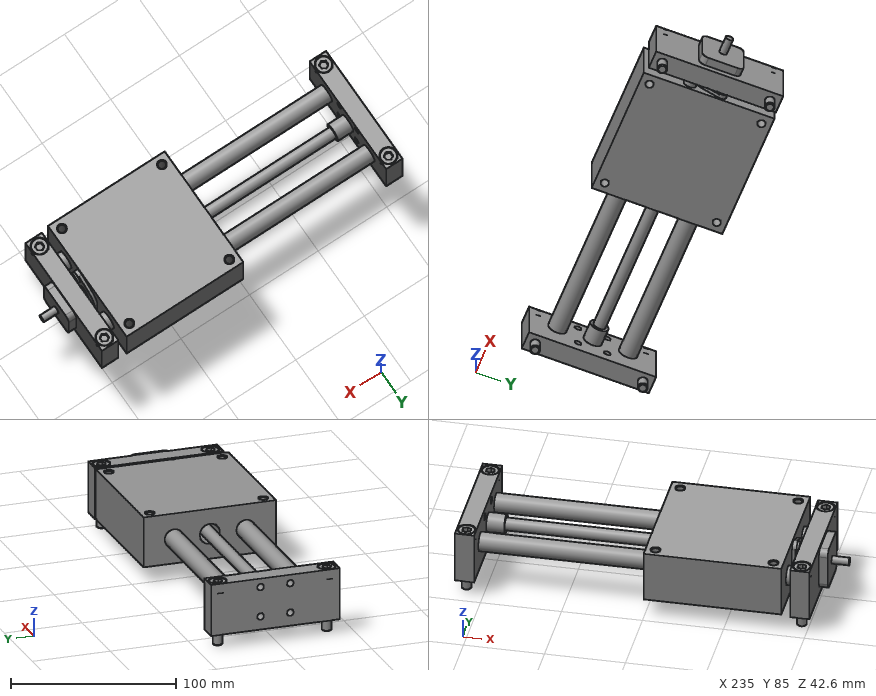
import cadquery as cq
import math


total_length = 235.0
idle_plate_thickness = 12.0
drive_plate_start = 207.0
drive_plate_thickness = 12.0
drive_plate_end = drive_plate_start + drive_plate_thickness

plate_width = 82.7
plate_top = 15.0
plate_bottom = -18.0
plate_height = plate_top - plate_bottom

plate_hole_diameter = 4.2
plate_hole_spacing = 19.0

screw_spacing = 70.0
screw_shank_diameter = 6.0
screw_head_diameter = 10.0
screw_head_height = 6.0
screw_counterbore_diameter = 11.0
screw_counterbore_depth = 6.3
screw_socket_flats = 5.0
screw_socket_depth = 3.0
screw_tip_z = -26.3
screw_tip_chamfer = 0.7

rod_diameter = 12.0
rod_spacing = 46.0
spindle_diameter = 8.0
bush_diameter = 12.0
bush_length = 11.0

block_size = 27.0
block_thickness = 5.5
block_corner_radius = 4.0
block_end = drive_plate_end + block_thickness
journal_diameter = 5.0

carriage_size = 85.0
carriage_height = 32.5
carriage_start = 116.8
carriage_end = carriage_start + carriage_size
carriage_middle = carriage_start + carriage_size / 2
carriage_hole_inset = 6.0
carriage_hole_spacing = carriage_size - 2 * carriage_hole_inset
carriage_hole_diameter = 5.0
carriage_hole_mouth_diameter = 6.0
carriage_hole_mouth_angle = 90
spindle_clearance_diameter = 13.0

stop_pin_diameter = 8.0
stop_pin_y = -12.7
stop_pin_z = -10.0

flange_thickness = 2.0
flange_end = carriage_end + flange_thickness
flange_centre_radius = 11.0
flange_lobe_radius = 3.8
flange_bolt_radius = 13.2
flange_screw_head_height = 2.0
flange_screw_crown_height = 1.5
flange_screw_crown_inset = 0.7


def cylinder_x(diameter, start, end, y=0.0, z=0.0):
    """Cylinder along X between two stations."""
    plane = cq.Workplane("YZ", origin=(start, y, z))
    return plane.circle(diameter / 2).extrude(end - start)


def cylinder_z(diameter, bottom, top, x, y):
    """Cylinder along Z between two heights."""
    plane = cq.Workplane("XY", origin=(x, y, bottom))
    return plane.circle(diameter / 2).extrude(top - bottom)


def mounting_screw(x, y):
    """Socket head screw, head down in its counterbore, with a chamfered tip below the plate."""
    seat_z = plate_top - screw_counterbore_depth
    head_top = seat_z + screw_head_height
    shank = cylinder_z(screw_shank_diameter, screw_tip_z, seat_z, x, y)
    shank = shank.faces("<Z").chamfer(screw_tip_chamfer)
    head = cylinder_z(screw_head_diameter, seat_z, head_top, x, y)
    socket_corners = screw_socket_flats / math.cos(math.pi / 6)
    socket = (
        cq.Workplane("XY", origin=(x, y, head_top))
        .transformed(rotate=(0, 0, 90))
        .polygon(6, socket_corners)
        .extrude(-screw_socket_depth)
    )
    return shank.union(head.cut(socket))


def end_plate(start, thickness):
    """Upright plate with a screw standing in a counterbore near each end."""
    middle = start + thickness / 2
    plate = cq.Workplane("XY", origin=(middle, 0, plate_bottom)).box(
        thickness, plate_width, plate_height, centered=(True, True, False)
    )
    seat_z = plate_top - screw_counterbore_depth
    for side in (-1, 1):
        y = side * screw_spacing / 2
        plate = plate.cut(cylinder_z(screw_counterbore_diameter, seat_z, plate_top, middle, y))
        plate = plate.union(mounting_screw(middle, y))
    return plate


def idle_end_plate():
    """End plate with four through holes around the spindle axis."""
    holes = (
        cq.Workplane("YZ")
        .rect(plate_hole_spacing, plate_hole_spacing, forConstruction=True)
        .vertices()
        .circle(plate_hole_diameter / 2)
        .extrude(idle_plate_thickness)
    )
    return end_plate(0, idle_plate_thickness).cut(holes)


def bearing_block():
    """Square block with rounded corners on the outer face of the drive end plate."""
    plane = cq.Workplane("YZ", origin=(drive_plate_end, 0, 0))
    block = plane.rect(block_size, block_size).extrude(block_thickness)
    return block.edges("|X").fillet(block_corner_radius)


def make_frame():
    """End plates joined by the rods and the spindle, with the bush, stop pin, block and journal."""
    frame = idle_end_plate().union(end_plate(drive_plate_start, drive_plate_thickness))
    for side in (-1, 1):
        rod_y = side * rod_spacing / 2
        frame = frame.union(cylinder_x(rod_diameter, idle_plate_thickness, drive_plate_start, rod_y))
    frame = frame.union(cylinder_x(spindle_diameter, idle_plate_thickness, drive_plate_start))
    bush_end = idle_plate_thickness + bush_length
    frame = frame.union(cylinder_x(bush_diameter, idle_plate_thickness, bush_end))
    stop_pin = cylinder_x(stop_pin_diameter, carriage_end, drive_plate_start, stop_pin_y, stop_pin_z)
    frame = frame.union(stop_pin)
    frame = frame.union(bearing_block())
    return frame.union(cylinder_x(journal_diameter, block_end, total_length))


def flange_screw_head(y, z):
    """Low screw head with a tapered crown."""
    head_end = flange_end + flange_screw_head_height
    head = cylinder_x(2 * flange_lobe_radius, flange_end, head_end, y, z)
    return head.faces(">X").chamfer(flange_screw_crown_height, flange_screw_crown_inset)


def nut_flange():
    """Flange whose straight flanks are tangent to the centre disc and to both lobes."""
    lobe_y = flange_lobe_radius - flange_centre_radius
    lobe_z = math.sqrt(flange_bolt_radius**2 - lobe_y**2)
    lobe_angle = math.atan2(lobe_z, lobe_y)
    flank_turn = math.pi - lobe_angle
    flange = cylinder_x(2 * flange_centre_radius, carriage_end, flange_end)
    for side in (-1, 1):
        y = side * lobe_y
        z = side * lobe_z
        centre_points = []
        lobe_points = []
        for turn in (-flank_turn, flank_turn):
            normal_y = side * math.cos(lobe_angle + turn)
            normal_z = side * math.sin(lobe_angle + turn)
            centre_points.append((flange_centre_radius * normal_y, flange_centre_radius * normal_z))
            lobe_points.append((y + flange_lobe_radius * normal_y, z + flange_lobe_radius * normal_z))
        web = (
            cq.Workplane("YZ", origin=(carriage_end, 0, 0))
            .polyline([centre_points[0], lobe_points[0], lobe_points[1], centre_points[1]])
            .close()
            .extrude(flange_thickness)
        )
        lobe = cylinder_x(2 * flange_lobe_radius, carriage_end, flange_end, y, z)
        flange = flange.union(web).union(lobe).union(flange_screw_head(y, z))
    return flange


def make_carriage():
    """Block sliding on the rods, with corner holes and the nut flange that runs on the spindle."""
    carriage = cq.Workplane("XY", origin=(carriage_middle, 0, 0)).box(
        carriage_size, carriage_size, carriage_height
    )
    carriage = (
        carriage.faces(">Z")
        .workplane(origin=(carriage_middle, 0, 0))
        .rect(carriage_hole_spacing, carriage_hole_spacing, forConstruction=True)
        .vertices()
        .cskHole(carriage_hole_diameter, carriage_hole_mouth_diameter, carriage_hole_mouth_angle)
    )
    for side in (-1, 1):
        rod_y = side * rod_spacing / 2
        carriage = carriage.cut(cylinder_x(rod_diameter, carriage_start, carriage_end, rod_y))
    carriage = carriage.cut(cylinder_x(spindle_clearance_diameter, carriage_start, carriage_end))
    carriage = carriage.union(nut_flange())
    return carriage.cut(cylinder_x(spindle_diameter, carriage_end, flange_end))


frame = make_frame()
carriage = make_carriage()

result = cq.Compound.makeCompound([frame.val(), carriage.val()])